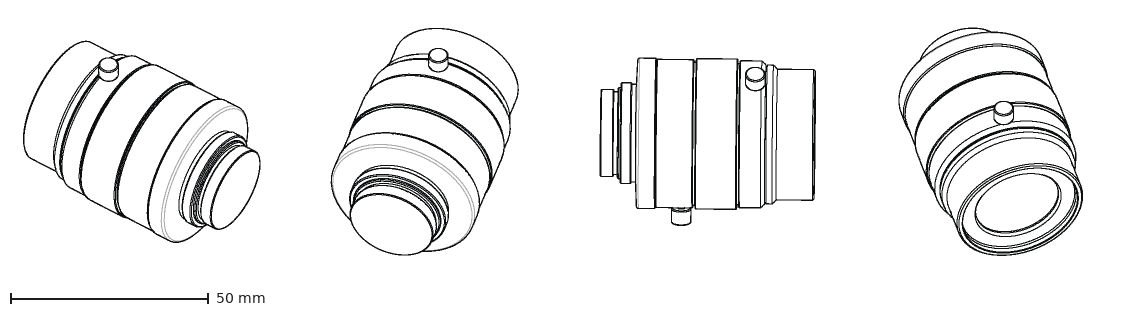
import cadquery as cq

length = 54.05
edge_chamfer = 0.2

front_radius = 16.55
front_chamfer = 0.4
front_end = 9.5
shoulder_radius = 17.55
shoulder_end = 12.1

shoulder_groove_radius = 17.3
shoulder_groove_end = 12.45

focus_ring_radius = 18.6
focus_ring_end = 19.0
focus_groove_radius = 17.85

grip_radius = 19.0
grip_start = 19.5
grip_end = 30.05
grip_groove_radius = 18.1

iris_ring_radius = 18.75
iris_ring_start = 30.6
iris_ring_end = 40.05
rear_ring_end = 44.85
rear_round = 0.55

rear_face_end = 45.1
neck_radius = 12.4

flange_radius = 12.75
flange_start = 46.2
flange_end = 49.0
flange_chamfer = 0.25
step_radius = 11.55
step_end = 49.7
step_chamfer = 0.25

relief_radius = 10.5
thread_radius = 11.0
thread_start = 50.75

bore_radius = 15.15
bore_edge_chamfer = 0.15
bore_depth = 1.4
plate_radius = 14.9
plate_depth = 1.95
opening_radius = 11.35
glass_radius = 10.9
opening_taper_depth = 2.8
glass_seat_depth = 3.25

glass_thickness = 2.15
glass_dome_height = 0.25

screw_head_radius = 2.5
screw_head_length = 3.9
screw_head_chamfer = 0.25
screw_shank_radius = 0.85
screw_root = 17.3
focus_screw_x = 14.95
focus_screw_top = 22.8
focus_screw_angle = 0.0
iris_screw_x = 33.55
iris_screw_top = 23.65
iris_screw_angle = -150.0

collar_radius = 1.35
collar_height = 0.5
collar_sunk = 0.15


def revolve_about_x(profile):
    """Turn a profile of (x, radius) points about the X axis."""
    return profile.close().revolve(360, (0, 0, 0), (1, 0, 0))


def ring_points(start, end, radius, chamfer):
    """Outline of a ring with 45 degree chamfers on both edges."""
    return [
        (start, radius - chamfer),
        (start + chamfer, radius),
        (end - chamfer, radius),
        (end, radius - chamfer),
    ]


def make_turned_housing():
    shoulder_start = front_end + shoulder_radius - front_radius
    focus_ring_start = shoulder_groove_end + focus_ring_radius - shoulder_radius

    front = [
        (0, front_radius - front_chamfer),
        (front_chamfer, front_radius),
        (front_end, front_radius),
        (shoulder_start, shoulder_radius),
        (shoulder_end, shoulder_radius),
        (shoulder_end, shoulder_groove_radius),
        (shoulder_groove_end, shoulder_groove_radius),
    ]
    focus_ring = [
        (shoulder_groove_end, shoulder_radius),
        (focus_ring_start, focus_ring_radius),
        (focus_ring_end - edge_chamfer, focus_ring_radius),
        (focus_ring_end, focus_ring_radius - edge_chamfer),
        (focus_ring_end, focus_groove_radius),
        (grip_start, focus_groove_radius),
    ]
    grip = ring_points(grip_start, grip_end, grip_radius, edge_chamfer)
    grip_groove = [(grip_end, grip_groove_radius), (iris_ring_start, grip_groove_radius)]
    iris_ring = ring_points(iris_ring_start, iris_ring_end, iris_ring_radius, edge_chamfer)
    rear_ring = [
        (iris_ring_end + edge_chamfer, grip_radius),
        (rear_ring_end - rear_round, grip_radius),
    ]
    neck = [(rear_face_end, neck_radius), (flange_start, neck_radius)]
    flange = ring_points(flange_start, flange_end, flange_radius, flange_chamfer)
    step = [
        (flange_end, step_radius),
        (step_end - step_chamfer, step_radius),
        (step_end, step_radius - step_chamfer),
    ]
    relief = [(step_end, relief_radius), (thread_start, relief_radius)]
    thread = ring_points(thread_start, length, thread_radius, edge_chamfer)

    profile = cq.Workplane("XZ").moveTo(0, 0)
    for point in front + focus_ring + grip + grip_groove + iris_ring + rear_ring:
        profile = profile.lineTo(*point)
    profile = profile.radiusArc((rear_ring_end, grip_radius - rear_round), rear_round)
    for point in neck + flange + step + relief + thread + [(length, 0)]:
        profile = profile.lineTo(*point)
    return revolve_about_x(profile)


def make_front_recess():
    """Space in front of the glass, together with the pocket that holds it."""
    pocket_end = glass_seat_depth + glass_thickness
    return revolve_about_x(
        cq.Workplane("XZ").polyline([
            (0, 0),
            (0, bore_radius + bore_edge_chamfer),
            (bore_edge_chamfer, bore_radius),
            (bore_depth, bore_radius),
            (plate_depth, plate_radius),
            (plate_depth, opening_radius),
            (opening_taper_depth, glass_radius),
            (pocket_end, glass_radius),
            (pocket_end, 0),
        ])
    )


def make_thumb_screw(x, top, angle):
    """Screw standing radially at x, with its head's outer face at distance top from the axis."""
    head_base = top - screw_head_length
    head = (
        cq.Workplane("XY")
        .workplane(offset=head_base)
        .circle(screw_head_radius)
        .extrude(screw_head_length)
        .edges("%CIRCLE")
        .chamfer(screw_head_chamfer)
    )
    shank = (
        cq.Workplane("XY")
        .workplane(offset=screw_root)
        .circle(screw_shank_radius)
        .extrude(head_base - screw_root)
    )
    return head.union(shank).rotate((0, 0, 0), (1, 0, 0), angle).translate((x, 0, 0))


def make_screw_collar():
    """Cone that narrows from the iris ring to the shank of the iris screw."""
    cone = cq.Solid.makeCone(
        collar_radius,
        screw_shank_radius,
        collar_height + collar_sunk,
        cq.Vector(iris_screw_x, 0, iris_ring_radius - collar_sunk),
    )
    return cq.Workplane(cone).rotate((0, 0, 0), (1, 0, 0), iris_screw_angle)


def make_housing():
    body = make_turned_housing().cut(make_front_recess())
    focus_screw = make_thumb_screw(focus_screw_x, focus_screw_top, focus_screw_angle)
    iris_screw = make_thumb_screw(iris_screw_x, iris_screw_top, iris_screw_angle)
    return body.union(focus_screw).union(iris_screw).union(make_screw_collar())


def make_glass():
    """Disc with a shallow spherical front face, filling the pocket behind the opening."""
    dome_radius = (glass_radius**2 + glass_dome_height**2) / (2 * glass_dome_height)
    apex = glass_seat_depth - glass_dome_height
    blank = (
        cq.Workplane("YZ")
        .workplane(offset=apex)
        .circle(glass_radius)
        .extrude(glass_thickness + glass_dome_height)
    )
    dome = cq.Workplane("XY").sphere(dome_radius).translate((apex + dome_radius, 0, 0))
    return blank.intersect(dome)


housing = make_housing()
glass = make_glass()

result = cq.Compound.makeCompound([housing.val(), glass.val()])